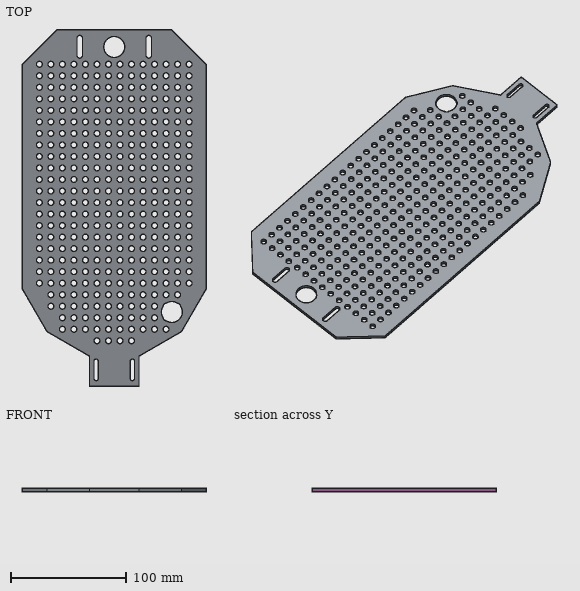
import cadquery as cq
import math

width = 159.7
length = 309.49
thickness = 3.175

corner_cut = 30.0
shoulder_y = -225.0
steep_angle = 60.0
shallow_angle = 30.0
steep_side = width * math.tan(math.pi / 12)
tab_width = 43.0

pitch = 10.0
small_hole_diameter = 4.9
first_row_y = -30.0
full_row_count = 20
full_row_holes = 14
tapered_rows = [12, 12, 10, 10, 4]

large_hole_diameter = 18.0
top_hole = (0.0, -15.0)
side_hole = (50.0, -245.0)

slot_travel = 15.0
top_slot_spacing = 60.0
top_slot_width = 4.6
top_slot_y = -14.8
tab_slot_spacing = 31.4
tab_slot_width = 3.6
tab_slot_y = -295.2


def make_plate():
    """Flat plate, symmetric about X = 0, with a narrow tab at its lower end."""
    half_width = width / 2
    half_tab = tab_width / 2
    knee_x = half_width - steep_side * math.cos(math.radians(steep_angle))
    knee_y = shoulder_y - steep_side * math.sin(math.radians(steep_angle))
    tab_root_y = knee_y - (knee_x - half_tab) * math.tan(math.radians(shallow_angle))
    right_side = [
        (half_width - corner_cut, 0),
        (half_width, -corner_cut),
        (half_width, shoulder_y),
        (knee_x, knee_y),
        (half_tab, tab_root_y),
        (half_tab, -length),
    ]
    left_side = [(-x, y) for x, y in reversed(right_side)]
    return cq.Workplane("XY").polyline(right_side + left_side).close().extrude(thickness)


def through_holes(points, diameter):
    """Cylinders that cut round holes through the plate."""
    return cq.Workplane("XY").pushPoints(points).circle(diameter / 2).extrude(thickness)


def slot_pair(spacing, y, slot_width):
    """Two round-ended slots along Y, placed evenly about X = 0."""
    slot_length = slot_travel + slot_width
    points = [(-spacing / 2, y), (spacing / 2, y)]
    return cq.Workplane("XY").pushPoints(points).slot2D(slot_length, slot_width, 90).extrude(thickness)


def grid_points():
    """Centres of the small holes; each row is centred on X = 0."""
    points = []
    row_counts = [full_row_holes] * full_row_count + tapered_rows
    for row, count in enumerate(row_counts):
        y = first_row_y - row * pitch
        for column in range(count):
            x = (column - (count - 1) / 2) * pitch
            points.append((x, y))
    return points


plate = make_plate()
plate = plate.cut(through_holes(grid_points(), small_hole_diameter))
plate = plate.cut(through_holes([top_hole, side_hole], large_hole_diameter))
plate = plate.cut(slot_pair(top_slot_spacing, top_slot_y, top_slot_width))
result = plate.cut(slot_pair(tab_slot_spacing, tab_slot_y, tab_slot_width))